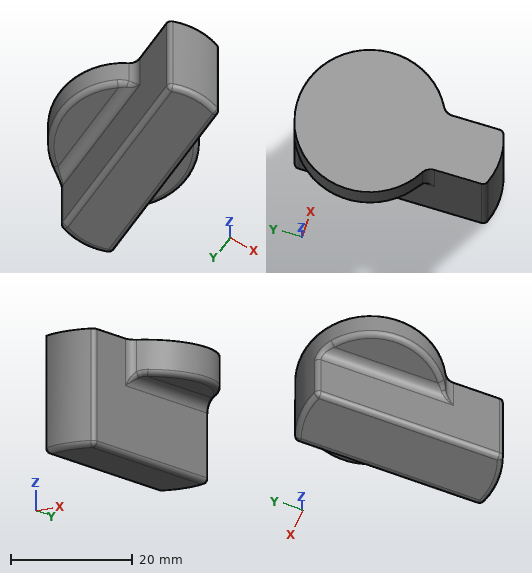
import cadquery as cq
import math

total_length = 35.05
total_height = 20.0
disc_diameter = 25.0
disc_thickness = 6.0
handle_width = 10.0
edge_radius = 0.98
blend_radius = 2.0
margin = 0.35

disc_radius = disc_diameter / 2
half_width = handle_width / 2
front_y = disc_radius - total_length
disc_bottom = total_height - disc_thickness
end_sag = disc_radius - math.sqrt(disc_radius**2 - half_width**2)

disc_underside = ((-blend_radius, blend_radius), (disc_bottom - margin, disc_bottom + margin))


def make_handle():
    """Upright blade with both ends curved to the disc radius."""
    front_corner_y = front_y + end_sag
    back_corner_y = disc_radius - end_sag
    return (
        cq.Workplane("XY")
        .moveTo(-half_width, front_corner_y)
        .threePointArc((0, front_y), (half_width, front_corner_y))
        .lineTo(half_width, back_corner_y)
        .threePointArc((0, disc_radius), (-half_width, back_corner_y))
        .close()
        .extrude(total_height)
    )


def make_disc():
    return cq.Workplane("XY").workplane(offset=disc_bottom).circle(disc_radius).extrude(disc_thickness)


def near(x_reach, y_range, z_range):
    """Selector for edges centred inside a box that is symmetric about X = 0."""
    return cq.selectors.BoxSelector(
        (-x_reach, y_range[0], z_range[0]), (x_reach, y_range[1], z_range[1])
    )


def round_front_corners(body):
    front_corners = near(half_width + margin, (front_y, -disc_radius), (0, total_height))
    return body.edges("|Z").edges(front_corners).fillet(edge_radius)


def blend_disc_to_handle(body):
    """Hollow blends in the necks beside the disc and along its underside."""
    necks = near(half_width + margin, (-disc_radius, 0), (disc_bottom + margin, total_height - margin))
    underside = near(half_width + margin, *disc_underside)
    return body.edges(necks + underside).fillet(blend_radius)


def round_disc_rim(body):
    """The rounding runs on smoothly down the rear corners of the handle."""
    rim = near(disc_radius + margin, *disc_underside)
    return body.edges("%CIRCLE").edges(rim).fillet(edge_radius)


def round_bottom(body):
    return body.faces("<Z").edges().fillet(edge_radius)


result = make_handle().union(make_disc())
result = round_front_corners(result)
result = blend_disc_to_handle(result)
result = round_disc_rim(result)
result = round_bottom(result)